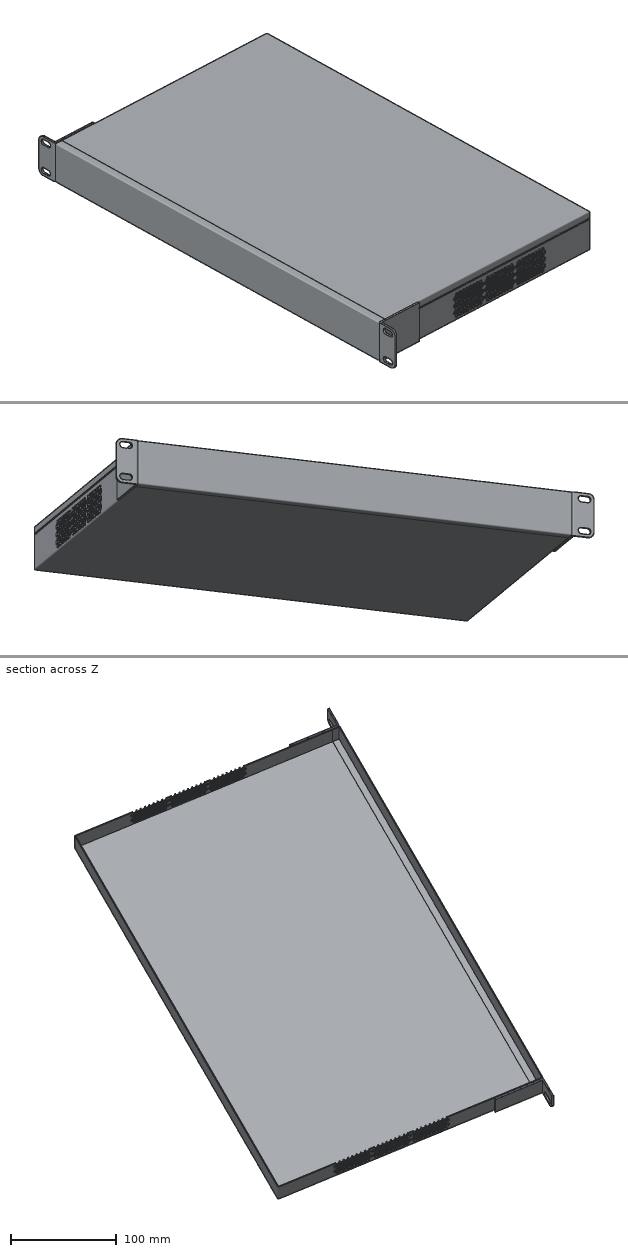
import cadquery as cq
import math

overall_width = 484.0
overall_depth = 280.0
height = 43.5
case_width = 439.5
half_case = case_width / 2
sheet = 1.5
bend_radius = 1.5
panel_bend_radius = 1.25
panel_depth = 8.0

tray_wall_height = 35.0
cover_flange_bottom = 36.5

ear_sheet = 2.2
ear_depth = 52.0
ear_corner_radius = 6.0
slot_length = 12.5
slot_height = 6.5
slot_center_inset = 9.5
slot_margin = 2.75
slot_spacing = height - 2 * slot_margin - slot_height

vent_diameter = 4.0
vent_pitch = 4.5
vent_row_pitch = vent_pitch * math.sqrt(3) / 2
vent_rows = 7
short_row_holes = 8
vent_groups = 3
vent_group_gap = 0.4
vent_group_pitch = (short_row_holes + 1) * vent_pitch + vent_group_gap
vent_center_y = 160.0
vent_center_z = 17.0


def block(x_start, x_end, y_start, y_end, z_start, z_end):
    """Solid box between the given limits."""
    size = (x_end - x_start, y_end - y_start, z_end - z_start)
    return cq.Workplane("XY").box(*size, centered=False).translate((x_start, y_start, z_start))


def vent_points():
    """Hole centres as (y, z); rows of eight alternate with rows of nine."""
    points = []
    for group in range(vent_groups):
        group_y = vent_center_y + (group - (vent_groups - 1) / 2) * vent_group_pitch
        for row in range(vent_rows):
            holes = short_row_holes + row % 2
            z = vent_center_z + (row - (vent_rows - 1) / 2) * vent_row_pitch
            for hole in range(holes):
                points.append((group_y + (hole - (holes - 1) / 2) * vent_pitch, z))
    return points


def make_tray():
    """Floor with a rear wall and two perforated side walls turned up from it."""
    outer = block(-half_case, half_case, panel_depth, overall_depth, 0, tray_wall_height)
    outer = outer.edges("(|Y and <Z) or (>Y and (not >Z))").fillet(bend_radius)
    inside = half_case - sheet
    cavity = block(-inside, inside, panel_depth, overall_depth - sheet, sheet, tray_wall_height)
    vents = (
        cq.Workplane("YZ", origin=(-half_case, 0, 0))
        .pushPoints(vent_points())
        .circle(vent_diameter / 2)
        .extrude(case_width)
    )
    return outer.cut(cavity).cut(vents)


def make_cover():
    """Top sheet with flanges turned down along the sides and the rear."""
    outer = block(-half_case, half_case, panel_depth, overall_depth, cover_flange_bottom, height)
    outer = outer.edges("(|Y and >Z) or (>Y and (not <Z))").fillet(bend_radius)
    inside = half_case - sheet
    cavity = block(-inside, inside, panel_depth, overall_depth - sheet, cover_flange_bottom, height - sheet)
    return outer.cut(cavity)


def make_front_panel():
    """Shallow pan closing the front, with lips turned back along all four edges."""
    outer = block(-half_case, half_case, 0, panel_depth, 0, height)
    outer = outer.edges("not >Y").fillet(panel_bend_radius)
    inside = half_case - sheet
    cavity = block(-inside, inside, sheet, panel_depth, sheet, height - sheet)
    return outer.cut(cavity)


def make_ear(side):
    """Angle bracket on one side of the case: side = -1 for -X, 1 for +X."""
    tip = overall_width / 2
    side_plate = block(half_case, half_case + ear_sheet, 0, ear_depth, 0, height)
    flange = block(half_case, tip, 0, ear_sheet, 0, height)
    flange = flange.edges("|Y and >X").fillet(ear_corner_radius)
    ear = flange.union(side_plate).edges("|Z and <X and <Y").fillet(ear_sheet)
    slots = (
        cq.Workplane("XZ", origin=(tip - slot_center_inset, 0, height / 2))
        .rarray(5, slot_spacing, 1, 2)
        .slot2D(slot_length, slot_height)
        .extrude(-ear_sheet)
    )
    ear = ear.cut(slots)
    return ear if side > 0 else ear.mirror("YZ")


tray = make_tray()
cover = make_cover()
front_panel = make_front_panel()
ears = [make_ear(side) for side in (-1, 1)]

result = cq.Compound.makeCompound(
    [tray.val(), cover.val(), front_panel.val(), *[ear.val() for ear in ears]]
)